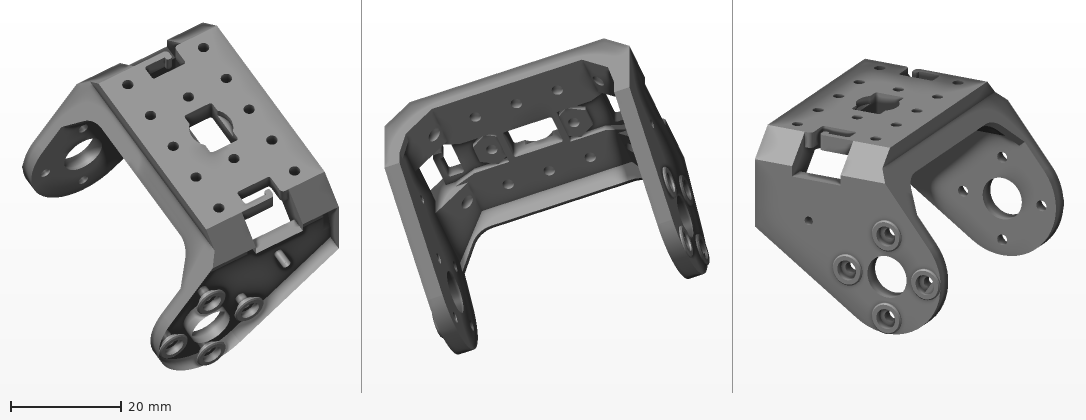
import cadquery as cq
import math


body_half_width = 23.9
arm_thickness = 3.0
inner_half_width = body_half_width - arm_thickness
hub_radius = 11.0
top_z = 23.0
rear_y = 27.05
rear_low_z = 5.0
front_top_y = 2.0
front_height = 3.0
top_bevel = 5.0

plate_thickness = 4.45
plate_low_z = top_z - plate_thickness
corner_bevel = 6.3
lip_thickness = 1.45
opening_start = 3.9
opening_bevel_end = 10.55
opening_top_half_width = 16.4
opening_fillet = 5.0
gusset_thickness = 1.45
gusset_low_z = 8.1
gusset_high_z = 13.45
gusset_reach = 1.2

pitch = 8.0
hole_radius = 1.02
plate_center_y = 14.45

hub_hole_radius = 4.0
boss_radius = 3.0
boss_height = 0.5
boss_chamfer = 0.25
boss_face_x = body_half_width + boss_height
counterbore_radius = 1.9
counterbore_depth = 1.5
cable_hole_radius = 0.85
cable_hole_y = 16.0

window_length = 9.6
window_width = 5.85
window_corner_radius = 0.5
recess_radius = 4.0
recess_depth = 1.5

notch_low_y = 9.5
notch_high_y = 19.4
notch_floor_z = 16.0
plate_edge_x = body_half_width - top_bevel
slot_inner_x = 14.7
slot_low_y = 11.0
slot_high_y = 17.95
hook_top_y = 16.5
hook_tip_x = 17.0
hook_tip_low_y = 15.3
hook_inner_x = 17.75
hook_thickness = 3.0
hook_low_z = top_z - hook_thickness
edge_radius = 0.8
slot_corner_radius = 0.5
hook_tip_radius = 0.4
relief_mouth_x = 17.1
relief_neck_x = 12.8
relief_end_x = 6.0
standoff_diameter = 6.95
standoff_height = 1.1

far = 97.6


def tangent_point(y, z, side):
    """Point on the hub circle where the line from (y, z) touches it."""
    distance = math.hypot(y, z)
    angle = math.atan2(z, y) + side * math.acos(hub_radius / distance)
    return hub_radius * math.cos(angle), hub_radius * math.sin(angle)


front_edge = (front_top_y, top_z - front_height)
front_tangent = tangent_point(*front_edge, 1)
rear_tangent = tangent_point(rear_y, rear_low_z, -1)

front_plane = cq.Plane(
    origin=(0, *front_edge),
    xDir=(1, 0, 0),
    normal=(0, -front_tangent[0], -front_tangent[1]),
)


def both_sides(shape):
    return shape.union(shape.mirror("YZ"))


def prism(points, low_z, high_z):
    return cq.Workplane("XY").workplane(offset=low_z).polyline(points).close().extrude(high_z - low_z)


def x_cylinder(radius, y, z, start_x, end_x):
    plane = cq.Workplane("YZ").workplane(offset=start_x)
    return plane.center(y, z).circle(radius).extrude(end_x - start_x)


def make_body():
    mid_angle_point = (-hub_radius * math.sin(math.pi / 4), -hub_radius * math.cos(math.pi / 4))
    body = (
        cq.Workplane("YZ")
        .moveTo(rear_y, top_z)
        .lineTo(front_top_y, top_z)
        .lineTo(*front_edge)
        .lineTo(*front_tangent)
        .threePointArc(mid_angle_point, rear_tangent)
        .lineTo(rear_y, rear_low_z)
        .close()
        .extrude(body_half_width, both=True)
    )
    return body.faces(">Z").edges("|Y").chamfer(top_bevel)


def make_cavity():
    """Space between the arms, leaving a lip of even thickness behind the sloped front face."""
    cavity = (
        cq.Workplane("XZ", origin=(0, far, 0))
        .moveTo(-inner_half_width, -far)
        .lineTo(-inner_half_width, plate_low_z - corner_bevel)
        .lineTo(-inner_half_width + corner_bevel, plate_low_z)
        .lineTo(inner_half_width - corner_bevel, plate_low_z)
        .lineTo(inner_half_width, plate_low_z - corner_bevel)
        .lineTo(inner_half_width, -far)
        .close()
        .extrude(2 * far)
    )
    behind_lip = cq.Workplane(front_plane).workplane(offset=lip_thickness).rect(far, 2 * far).extrude(far)
    return cavity.intersect(behind_lip)


def make_front_opening():
    """Opening through the front lip, square to the sloped face."""
    opening = (
        cq.Workplane(front_plane)
        .moveTo(-inner_half_width, far)
        .lineTo(-inner_half_width, opening_bevel_end)
        .lineTo(-opening_top_half_width, opening_start)
        .lineTo(opening_top_half_width, opening_start)
        .lineTo(inner_half_width, opening_bevel_end)
        .lineTo(inner_half_width, far)
        .close()
        .extrude(2 * lip_thickness)
    )
    corner_x = opening_top_half_width
    for x in (-corner_x, corner_x):
        corner = front_plane.toWorldCoords((x, opening_start, lip_thickness))
        opening = opening.edges(cq.selectors.NearestToPointSelector(corner.toTuple())).fillet(opening_fillet)
    return opening


def make_gussets():
    """Small ribs at the rear, in the corners between the arms and the plate."""
    rib = (
        cq.Workplane("XZ", origin=(0, rear_y, 0))
        .moveTo(inner_half_width, gusset_low_z)
        .lineTo(inner_half_width - gusset_reach, gusset_high_z)
        .lineTo(inner_half_width, gusset_high_z)
        .close()
        .extrude(gusset_thickness)
    )
    return both_sides(rib)


def make_notches():
    """Openings through the bevelled corners, with a hook-shaped slot beside each one."""
    notch = prism(
        [
            (plate_edge_x, notch_low_y),
            (plate_edge_x, notch_high_y),
            (body_half_width, notch_high_y),
            (body_half_width, notch_low_y),
        ],
        notch_floor_z,
        top_z,
    )
    slot = prism(
        [
            (plate_edge_x, slot_high_y),
            (slot_inner_x, slot_high_y),
            (slot_inner_x, slot_low_y),
            (hook_inner_x, slot_low_y),
            (hook_inner_x, hook_tip_low_y),
            (hook_tip_x, hook_tip_low_y),
            (hook_tip_x, hook_top_y),
            (plate_edge_x, hook_top_y),
        ],
        notch_floor_z,
        top_z,
    )

    def at(x, y):
        return cq.selectors.NearestToPointSelector((x, y, (notch_floor_z + top_z) / 2))

    for y in (slot_high_y, slot_low_y):
        slot = slot.edges(at(slot_inner_x, y)).fillet(slot_corner_radius)
    slot = slot.edges(at(hook_inner_x, slot_low_y)).fillet(slot_corner_radius)
    for y in (hook_tip_low_y, hook_top_y):
        slot = slot.edges(at(hook_tip_x, y)).fillet(hook_tip_radius)

    inner_clearance = prism(
        [
            (inner_half_width, notch_low_y),
            (inner_half_width, notch_high_y),
            (slot_inner_x, notch_high_y),
            (slot_inner_x, notch_low_y),
        ],
        plate_low_z - corner_bevel,
        plate_low_z,
    )

    opening = notch.union(slot)
    for y in (slot_high_y, hook_top_y):
        opening = opening.edges(at(plate_edge_x, y)).fillet(edge_radius)
    return both_sides(opening.union(inner_clearance))


def make_reliefs():
    """Pockets under the plate that thin the hooks and leave a hexagonal standoff at the side holes."""
    relief = prism(
        [
            (plate_edge_x, notch_low_y),
            (plate_edge_x, notch_high_y),
            (relief_mouth_x, notch_high_y),
            (relief_neck_x, slot_high_y),
            (relief_end_x, slot_high_y),
            (relief_end_x, slot_low_y),
            (relief_neck_x, slot_low_y),
            (relief_mouth_x, notch_low_y),
        ],
        notch_floor_z,
        hook_low_z,
    )
    standoff = (
        cq.Workplane("XY", origin=(pitch, plate_center_y, hook_low_z))
        .transformed(rotate=(0, 0, 90))
        .polygon(6, standoff_diameter)
        .extrude(-standoff_height)
    )
    return both_sides(relief.cut(standoff))


def make_plate_holes():
    points = []
    for column in range(-2, 3):
        for row in (-1, 0, 1):
            if row != 0 or abs(column) == 1:
                points.append((column * pitch, plate_center_y + row * pitch))
    top = cq.Workplane("XY").workplane(offset=top_z)
    return top.pushPoints(points).circle(hole_radius).extrude(-2 * plate_thickness)


def make_window():
    top = cq.Workplane("XY", origin=(0, plate_center_y, top_z))
    window = top.rect(window_length, window_width).extrude(-plate_thickness)
    window = window.edges("|Z").fillet(window_corner_radius)
    return window.union(top.circle(recess_radius).extrude(-recess_depth))


screw_positions = [(pitch, 0), (0, pitch), (-pitch, 0), (0, -pitch)]

result = make_body().cut(make_cavity()).cut(make_front_opening())
result = result.union(make_gussets())
result = result.cut(make_notches()).cut(make_reliefs())
result = result.cut(make_plate_holes()).cut(make_window())

for y, z in screw_positions:
    boss = x_cylinder(boss_radius, y, z, inner_half_width, boss_face_x).faces(">X").chamfer(boss_chamfer)
    counterbore = x_cylinder(counterbore_radius, y, z, boss_face_x - counterbore_depth, boss_face_x)
    result = result.union(both_sides(boss)).cut(both_sides(counterbore))
    result = result.cut(x_cylinder(hole_radius, y, z, -boss_face_x, boss_face_x))

result = result.cut(x_cylinder(hub_hole_radius, 0, 0, -boss_face_x, boss_face_x))
result = result.cut(x_cylinder(cable_hole_radius, cable_hole_y, pitch, -boss_face_x, boss_face_x))